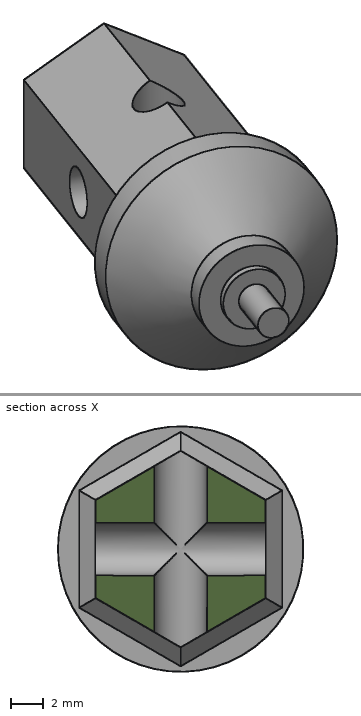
import cadquery as cq
import math

hex_sides = 6
hex_corner_diameter = 12.0
hex_length = 18.5

flare_length = 1.0

flange_diameter = 15.0
flange_width = 2.0
collar_diameter = 6.8
collar_width = 1.4
step_diameter = 4.0
step_width = 0.5
pin_diameter = 2.0
pin_length = 3.5

cross_hole_diameter = 3.2
cross_hole_x = 10.0

flange_x = hex_length + flare_length
cone_x = flange_x + flange_width
collar_x = cone_x + (flange_diameter - collar_diameter) / 2
step_x = collar_x + collar_width
pin_x = step_x + step_width
tip_x = pin_x + pin_length

flare_corner_diameter = hex_corner_diameter + 2 * flare_length / math.cos(math.pi / hex_sides)


def make_hex_body():
    """Hexagonal bar ending in the flare that meets the flange."""
    bar = cq.Workplane("YZ").polygon(hex_sides, hex_corner_diameter).extrude(hex_length)
    flare = (
        cq.Workplane("YZ", origin=(hex_length, 0, 0))
        .polygon(hex_sides, hex_corner_diameter)
        .workplane(offset=flare_length)
        .polygon(hex_sides, flare_corner_diameter)
        .loft(ruled=True, combine=True)
    )
    return bar.union(flare).rotate((0, 0, 0), (1, 0, 0), 90)


def make_round_end():
    """Flange, cone, collar, step and pin as one body turned about the X axis."""
    return (
        cq.Workplane("XY")
        .moveTo(flange_x, 0)
        .lineTo(flange_x, flange_diameter / 2)
        .lineTo(cone_x, flange_diameter / 2)
        .lineTo(collar_x, collar_diameter / 2)
        .lineTo(step_x, collar_diameter / 2)
        .lineTo(step_x, step_diameter / 2)
        .lineTo(pin_x, step_diameter / 2)
        .lineTo(pin_x, pin_diameter / 2)
        .lineTo(tip_x, pin_diameter / 2)
        .lineTo(tip_x, 0)
        .close()
        .revolve(360, (0, 0, 0), (1, 0, 0))
    )


def make_cross_hole(plane):
    """Cutter for a hole through the whole body, square to the given plane."""
    return (
        cq.Workplane(plane)
        .center(cross_hole_x, 0)
        .circle(cross_hole_diameter / 2)
        .extrude(hex_corner_diameter, both=True)
    )


result = make_hex_body().union(make_round_end())

for hole_plane in ("XZ", "XY"):
    result = result.cut(make_cross_hole(hole_plane))